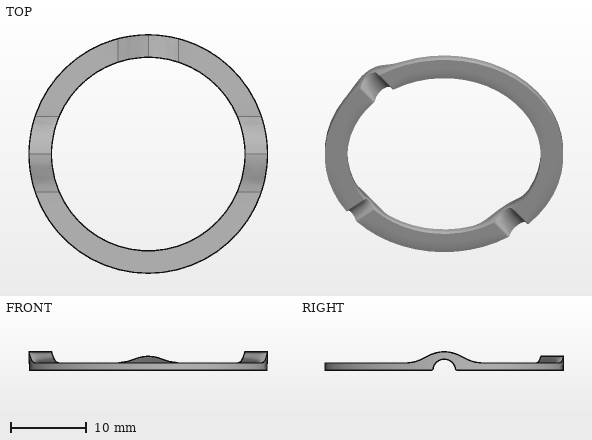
import cadquery as cq
import math

outer_radius = 15.75
inner_radius = 12.75
thickness = 1.0

side_wave_half_length = 4.98
side_wave_rise = 1.48
rear_wave_half_length = 4.0
rear_wave_rise = 0.88

arch_edge_radius = 0.3

wave_start = inner_radius / 2
wave_depth = outer_radius - wave_start + 0.3


def radial_plane(angle):
    """Vertical plane whose normal points outwards at the given angle from +X."""
    direction = math.radians(angle)
    normal = (math.cos(direction), math.sin(direction), 0)
    tangent = (-math.sin(direction), math.cos(direction), 0)
    origin = tuple(wave_start * component for component in normal)
    return cq.Plane(origin=origin, xDir=tangent, normal=normal)


def ring(height):
    return cq.Workplane("XY").circle(outer_radius).circle(inner_radius).extrude(height)


def wave_crown(angle, half_length, rise):
    """Hump whose smooth flanks are level at the crown and at both feet."""
    crown = (0, thickness + rise)
    level = (1, 0)
    return (
        cq.Workplane(radial_plane(angle))
        .moveTo(-half_length, 0)
        .lineTo(-half_length, thickness)
        .spline([crown], tangents=[level, level], includeCurrent=True)
        .spline([(half_length, thickness)], tangents=[level, level], includeCurrent=True)
        .lineTo(half_length, 0)
        .close()
        .extrude(wave_depth)
    )


def wave_arch(angle, radius):
    """Half-round channel under a wave, flared by arcs tangent to the flat bottom."""
    foot = math.sqrt(radius**2 + 2 * radius * arch_edge_radius)
    share = radius / (radius + arch_edge_radius)
    touch_x = foot * share
    touch_z = arch_edge_radius * share
    flare_angle = math.atan2(foot, arch_edge_radius) / 2
    flare_x = foot - arch_edge_radius * math.sin(flare_angle)
    flare_z = arch_edge_radius * (1 - math.cos(flare_angle))
    return (
        cq.Workplane(radial_plane(angle))
        .moveTo(-foot, 0)
        .threePointArc((-flare_x, flare_z), (-touch_x, touch_z))
        .threePointArc((0, radius), (touch_x, touch_z))
        .threePointArc((flare_x, flare_z), (foot, 0))
        .close()
        .extrude(wave_depth)
    )


waves = [
    (0, side_wave_half_length, side_wave_rise),
    (180, side_wave_half_length, side_wave_rise),
    (90, rear_wave_half_length, rear_wave_rise),
]

result = ring(thickness)
tall_ring = ring(thickness + 2 * side_wave_rise)
for angle, half_length, rise in waves:
    crown = wave_crown(angle, half_length, rise)
    result = result.union(crown.intersect(tall_ring))

for angle, half_length, rise in waves:
    result = result.cut(wave_arch(angle, rise))